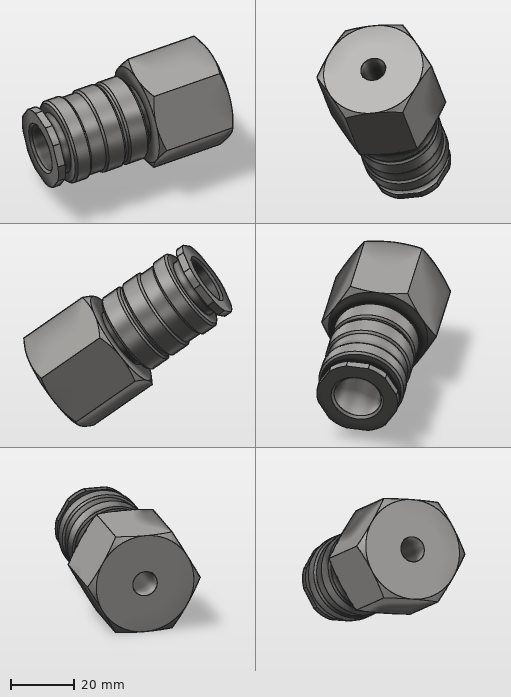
import cadquery as cq
import math

length = 60.0

hex_flats = 32.0
hex_start = 34.0
hex_chamfer_angle = 30.0

sleeve_radius = 13.0
ring_radius = 13.7
bevel = ring_radius - sleeve_radius
ring_spans = [(5.9, 11.7), (16.7, 23.7), (24.6, 31.75)]
sleeve_start = ring_spans[0][0]
sleeve_end = ring_spans[-1][1]

neck_radius = 10.0
collar_thickness = 2.5
collar_radius = sleeve_radius
collar_flats = 25.0

through_radius = 4.0
socket_radius = 7.6
socket_depth = hex_start
socket_mouth_radius = 8.4
socket_chamfer = socket_mouth_radius - socket_radius


def cylinder(radius, start, end):
    """Cylinder around the Y axis between two Y positions."""
    return cq.Workplane("XZ", origin=(0, start, 0)).circle(radius).extrude(start - end)


def hexagon(flats, start, end):
    """Hexagonal prism with corners on the +X and -X sides."""
    corner_diameter = flats / math.cos(math.radians(30))
    return cq.Workplane("XZ", origin=(0, start, 0)).polygon(6, corner_diameter).extrude(start - end)


def revolve_profile(points):
    """Solid of revolution about the Y axis from (radius, Y) points."""
    return cq.Workplane("XY").polyline(points).close().revolve(360, (0, 0, 0), (0, 1, 0))


def hex_body():
    """Hexagon with its corners turned off conically at both ends."""
    face_radius = hex_flats / 2
    corner_radius = face_radius / math.cos(math.radians(30))
    cone_height = (corner_radius - face_radius) * math.tan(math.radians(hex_chamfer_angle))
    envelope = revolve_profile([
        (0, hex_start),
        (face_radius, hex_start),
        (corner_radius, hex_start + cone_height),
        (corner_radius, length - cone_height),
        (face_radius, length),
        (0, length),
    ])
    return hexagon(hex_flats, hex_start, length).intersect(envelope)


def sleeve():
    """Cylindrical sleeve carrying bevelled rings."""
    body = cylinder(sleeve_radius, sleeve_start, sleeve_end)
    for start, end in ring_spans:
        body = body.union(cylinder(ring_radius, start, end).edges().chamfer(bevel))
    return body


def collar():
    """Thin round collar with six wrench flats."""
    disc = cylinder(collar_radius, 0, collar_thickness)
    return disc.intersect(hexagon(collar_flats, 0, collar_thickness))


def bores():
    """Through hole plus a socket with a chamfered mouth at the collar end."""
    socket = revolve_profile([
        (0, 0),
        (socket_mouth_radius, 0),
        (socket_radius, socket_chamfer),
        (socket_radius, socket_depth),
        (0, socket_depth),
    ])
    return socket.union(cylinder(through_radius, 0, length))


neck = cylinder(neck_radius, 0, hex_start)
result = hex_body().union(neck).union(sleeve()).union(collar()).cut(bores())